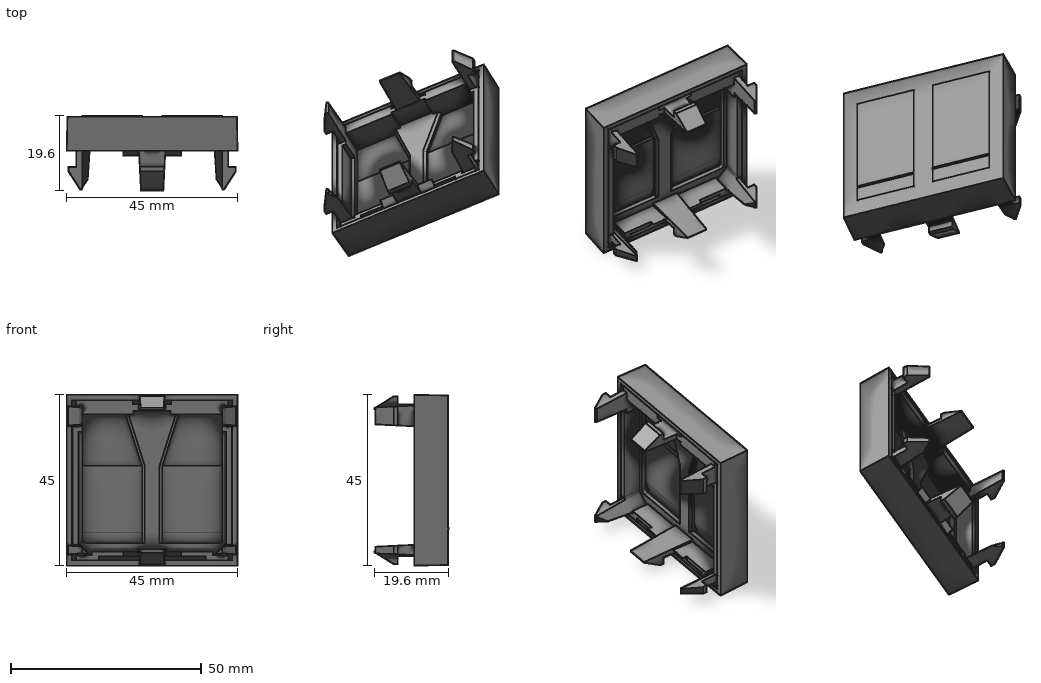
import cadquery as cq


RIM_HALF = 22.5
HOUSING_DEPTH = 9.0
BACK_DRAFT = 0.2
CAVITY_HALF = 21.1
BACK_THICKNESS = 0.9
BACK_INNER_Y = HOUSING_DEPTH - BACK_THICKNESS

WINDOW_INNER_X = 2.6
WINDOW_OUTER_X = 18.45
WINDOW_HALF_HEIGHT = 17.32
FLANGE_MARGIN = 1.12
FLANGE_FRONT_Y = 7.2
BOSS_FRONT_Y = 6.3
BOSS_TOP_Z = 3.8
BOSS_BEVEL_Z = -13.7
RIB_Z = -12.7
RIB_HEIGHT = 0.45
RIB_PROUD = 0.2

CARRIER_BACK_Y = BOSS_FRONT_Y
FLOOR_Y = 5.0
BODY_HALF_X = 20.02
PAD_HALF_X = 20.9
PAD_TOP_Z = 14.2
PAD_BOTTOM_Z = -16.9
POCKET_HALF_X = 19.5
POCKET_NARROW_Z = 12.8
POCKET_TOP_Z = 17.35
POCKET_BOTTOM_Z = -19.65
CLIP_RECESS_HALF_X = 4.95
CLIP_RECESS_Z = 18.25
SHELF_HALF_X = 15.95
SHELF_Z = -18.75
GUSSET_TOP_Z = -16.6
GUSSET_BLEND_RADIUS = 0.8
GUSSET_INNER_X = POCKET_HALF_X - (GUSSET_TOP_Z - POCKET_BOTTOM_Z)
NOTCH_Z = 20.02
TOP_NOTCH_HALF_X = 5.05
BOTTOM_NOTCH_HALF_X = 14.05
LIP_HALF_X = 7.65
LIP_REACH = 1.25
LIP_ROOT_Y = 0.8

OPENING_OUTER_X = WINDOW_OUTER_X
OPENING_BOTTOM_Z = -16.5
OPENING_CORNER_RADIUS = 1.0
MULLION_HALF_X = WINDOW_INNER_X
MULLION_TOP_HALF_X = 6.98
MULLION_KINK_Z = 3.6
MULLION_CHAMFER = 0.7

STEM_OUTER = 20.02
STEM_INNER = OPENING_OUTER_X
HOOK_OUTER = 22.05
HOOK_Y = -4.25
HOOK_RAMP_Y = -5.35
RAMP_END = 19.05
TIP_LENGTH = 0.2
SIDE_RAMP_END_Y = -10.05
TIP_INNER_Y = -9.75
CENTRE_TIP_Y = -10.45
CENTRE_TIP_INNER = 18.65
CENTRE_BOTTOM_INNER = 18.1
CENTRE_ROOT_HALF_X = 3.75
CENTRE_TIP_HALF_X = 2.95
CLIP_DRAFT = 0.5
UPPER_CLIP_Z = (14.18, 19.6)
LOWER_CLIP_Z = (-19.7, -16.95)
GUSSET_CUT_Y = -7.45


def prism_y(points, y_from, y_to):
    """Prism of an XZ outline between two Y planes."""
    return cq.Workplane("XZ", origin=(0, y_from, 0)).polyline(points).close().extrude(y_from - y_to)


def prism_x(points, half_length):
    """Prism of a YZ outline, centred on X = 0."""
    return cq.Workplane("YZ").polyline(points).close().extrude(half_length, both=True)


def prism_z(points, z_from, z_to):
    """Prism of an XY outline between two Z planes."""
    return cq.Workplane("XY", origin=(0, 0, z_from)).polyline(points).close().extrude(z_to - z_from)


def block(x_from, x_to, y_from, y_to, z_from, z_to):
    corners = [(x_from, z_from), (x_to, z_from), (x_to, z_to), (x_from, z_to)]
    return prism_y(corners, y_from, y_to)


def both_sides(shape):
    """The shape together with its mirror image across X = 0."""
    return shape.union(shape.mirror("YZ"))


def make_housing():
    back_half = RIM_HALF - BACK_DRAFT
    shell = (
        cq.Workplane("XZ")
        .rect(2 * RIM_HALF, 2 * RIM_HALF)
        .workplane(offset=-HOUSING_DEPTH)
        .rect(2 * back_half, 2 * back_half)
        .loft(ruled=True)
    )
    cavity = block(-CAVITY_HALF, CAVITY_HALF, 0, BACK_INNER_Y, -CAVITY_HALF, CAVITY_HALF)
    opening = block(
        WINDOW_INNER_X, WINDOW_OUTER_X,
        BACK_INNER_Y, HOUSING_DEPTH,
        -WINDOW_HALF_HEIGHT, WINDOW_HALF_HEIGHT,
    )
    return shell.cut(cavity).cut(both_sides(opening))


def make_window():
    """Window on the +X side: panel, retaining flange, bevelled boss and outer rib."""
    panel = block(
        WINDOW_INNER_X, WINDOW_OUTER_X,
        FLANGE_FRONT_Y, HOUSING_DEPTH,
        -WINDOW_HALF_HEIGHT, WINDOW_HALF_HEIGHT,
    )
    flange_half_height = WINDOW_HALF_HEIGHT + FLANGE_MARGIN
    flange = block(
        WINDOW_INNER_X - FLANGE_MARGIN, WINDOW_OUTER_X + FLANGE_MARGIN,
        FLANGE_FRONT_Y, BACK_INNER_Y,
        -flange_half_height, flange_half_height,
    )
    boss_profile = [
        (FLANGE_FRONT_Y, BOSS_TOP_Z),
        (BOSS_FRONT_Y, BOSS_TOP_Z),
        (BOSS_FRONT_Y, BOSS_BEVEL_Z),
        (FLANGE_FRONT_Y, -WINDOW_HALF_HEIGHT),
    ]
    boss_half_width = (WINDOW_OUTER_X - WINDOW_INNER_X) / 2
    boss_centre_x = (WINDOW_OUTER_X + WINDOW_INNER_X) / 2
    boss = prism_x(boss_profile, boss_half_width).translate((boss_centre_x, 0, 0))
    rib = block(
        WINDOW_INNER_X, WINDOW_OUTER_X,
        HOUSING_DEPTH, HOUSING_DEPTH + RIB_PROUD,
        RIB_Z - RIB_HEIGHT / 2, RIB_Z + RIB_HEIGHT / 2,
    )
    return panel.union(flange).union(boss).union(rib)


def carrier_body():
    body = block(-BODY_HALF_X, BODY_HALF_X, 0, CARRIER_BACK_Y, -CAVITY_HALF, CAVITY_HALF)
    pads = block(-PAD_HALF_X, PAD_HALF_X, 0, CARRIER_BACK_Y, PAD_BOTTOM_Z, PAD_TOP_Z)
    return body.union(pads)


def carrier_pocket():
    """Space in front of the floor, bounded by the shelf, the gussets and the top band."""
    right_side = [
        (SHELF_HALF_X, SHELF_Z),
        (SHELF_HALF_X, POCKET_BOTTOM_Z),
        (GUSSET_INNER_X, POCKET_BOTTOM_Z),
        (POCKET_HALF_X, GUSSET_TOP_Z),
        (POCKET_HALF_X, POCKET_NARROW_Z),
        (OPENING_OUTER_X, POCKET_NARROW_Z),
        (OPENING_OUTER_X, POCKET_TOP_Z),
        (CLIP_RECESS_HALF_X, POCKET_TOP_Z),
        (CLIP_RECESS_HALF_X, CLIP_RECESS_Z),
    ]
    left_side = [(-x, z) for x, z in reversed(right_side)]
    pocket = prism_y(right_side + left_side, 0, FLOOR_Y)
    for side in (1, -1):
        wall_corner = cq.selectors.NearestToPointSelector((side * POCKET_HALF_X, FLOOR_Y / 2, GUSSET_TOP_Z))
        pocket = pocket.edges("|Y").edges(wall_corner).fillet(GUSSET_BLEND_RADIUS)
    return pocket


def opening_outline(mullion_setback):
    """Corners of the +X floor opening, with its mullion edge moved towards X = 0."""
    return [
        (MULLION_HALF_X - mullion_setback, OPENING_BOTTOM_Z),
        (OPENING_OUTER_X, OPENING_BOTTOM_Z),
        (OPENING_OUTER_X, POCKET_TOP_Z),
        (MULLION_TOP_HALF_X - mullion_setback, POCKET_TOP_Z),
        (MULLION_HALF_X - mullion_setback, MULLION_KINK_Z),
    ]


def floor_openings():
    through = prism_y(opening_outline(0), FLOOR_Y, CARRIER_BACK_Y)
    chamfer = (
        cq.Workplane("XZ", origin=(0, FLOOR_Y, 0))
        .polyline(opening_outline(MULLION_CHAMFER)).close()
        .workplane(offset=-MULLION_CHAMFER)
        .polyline(opening_outline(0)).close()
        .loft(ruled=True)
    )
    lower_outer_corner = cq.selectors.NearestToPointSelector(
        (OPENING_OUTER_X, (FLOOR_Y + CARRIER_BACK_Y) / 2, OPENING_BOTTOM_Z)
    )
    opening = through.union(chamfer).edges("|Y").edges(lower_outer_corner).fillet(OPENING_CORNER_RADIUS)
    return both_sides(opening)


def edge_notches():
    top = block(
        -TOP_NOTCH_HALF_X, TOP_NOTCH_HALF_X, 0, CARRIER_BACK_Y, NOTCH_Z, CAVITY_HALF
    )
    bottom = block(
        -BOTTOM_NOTCH_HALF_X, BOTTOM_NOTCH_HALF_X, 0, CARRIER_BACK_Y, -CAVITY_HALF, -NOTCH_Z
    )
    return top.union(bottom)


def shelf_lip():
    """Wedge lip that extends the shelf beyond the rim on both sides of the bottom clip."""
    return prism_x([(LIP_ROOT_Y, SHELF_Z), (-LIP_REACH, SHELF_Z), (LIP_ROOT_Y, -NOTCH_Z)], LIP_HALF_X)


def lip_relief():
    """Space under the sloping face of the lip, which carries on into the bottom slot."""
    return prism_x([(-LIP_REACH, -NOTCH_Z), (-LIP_REACH, SHELF_Z), (LIP_ROOT_Y, -NOTCH_Z)], LIP_HALF_X)


def clip_profile(plane, inner_face, ramp_end_y):
    """Clip outline in (distance from the axis, Y), with a hook outside and a rounded tip.

    inner_face lists the points of the inner face from the tip to the root.
    """
    tip_inner = inner_face[0][0]
    root_y = inner_face[-1][1]
    return (
        cq.Workplane(plane)
        .moveTo(STEM_OUTER, root_y)
        .lineTo(STEM_OUTER, HOOK_Y)
        .lineTo(HOOK_OUTER, HOOK_Y)
        .lineTo(HOOK_OUTER, HOOK_RAMP_Y)
        .lineTo(RAMP_END, ramp_end_y)
        .threePointArc(((RAMP_END + tip_inner) / 2, ramp_end_y - TIP_LENGTH), inner_face[0])
        .polyline(inner_face, includeCurrent=False)
        .close()
    )


def centre_clip(side, root_inner):
    """Clip on the top (side = 1) or bottom (side = -1) edge, narrowing towards its tip."""
    ramp_end_y = CENTRE_TIP_Y + TIP_LENGTH
    inner_face = [(CENTRE_TIP_INNER, ramp_end_y), (root_inner, FLOOR_Y)]
    plane = cq.Plane(origin=(0, 0, 0), xDir=(0, 0, side), normal=(-side, 0, 0))
    clip = clip_profile(plane, inner_face, ramp_end_y).extrude(CENTRE_ROOT_HALF_X, both=True)
    width = prism_z(
        [
            (-CENTRE_ROOT_HALF_X, FLOOR_Y),
            (CENTRE_ROOT_HALF_X, FLOOR_Y),
            (CENTRE_TIP_HALF_X, CENTRE_TIP_Y),
            (-CENTRE_TIP_HALF_X, CENTRE_TIP_Y),
        ],
        -HOOK_OUTER,
        HOOK_OUTER,
    )
    return clip.intersect(width)


def side_clip(z_range, inner_face):
    """Clip on the +X edge, narrowing in Z towards its tip."""
    bottom, top = z_range
    tip_y = SIDE_RAMP_END_Y - TIP_LENGTH
    plane = cq.Plane(origin=(0, 0, bottom), xDir=(1, 0, 0), normal=(0, 0, 1))
    clip = clip_profile(plane, inner_face, SIDE_RAMP_END_Y).extrude(top - bottom)
    height = prism_x(
        [(0, bottom), (0, top), (tip_y, top - CLIP_DRAFT), (tip_y, bottom + CLIP_DRAFT)],
        HOOK_OUTER,
    )
    return clip.intersect(height)


def upper_clip():
    return side_clip(UPPER_CLIP_Z, [(STEM_INNER, TIP_INNER_Y), (STEM_INNER, 0)])


def lower_clip():
    """Lower +X clip, thickened inwards and bounded by the plane of the pocket gusset."""
    inner_face = [
        (STEM_INNER, TIP_INNER_Y),
        (GUSSET_INNER_X + CLIP_DRAFT, GUSSET_CUT_Y),
        (GUSSET_INNER_X, 0),
    ]
    above_gusset = prism_y(
        [
            (GUSSET_INNER_X, POCKET_BOTTOM_Z),
            (POCKET_HALF_X, GUSSET_TOP_Z),
            (GUSSET_INNER_X, GUSSET_TOP_Z),
        ],
        SIDE_RAMP_END_Y - TIP_LENGTH,
        0,
    )
    return side_clip(LOWER_CLIP_Z, inner_face).cut(above_gusset)


def make_carrier():
    carrier = carrier_body().cut(carrier_pocket()).cut(floor_openings()).cut(edge_notches())
    carrier = carrier.union(shelf_lip()).cut(lip_relief())
    carrier = carrier.union(centre_clip(1, CLIP_RECESS_Z)).union(centre_clip(-1, CENTRE_BOTTOM_INNER))
    for clip in (upper_clip(), lower_clip()):
        carrier = carrier.union(both_sides(clip))
    return carrier


housing = make_housing()
carrier = make_carrier()
right_window = make_window()
windows = [right_window, right_window.mirror("YZ")]

result = cq.Compound.makeCompound([housing.val(), carrier.val(), *[window.val() for window in windows]])